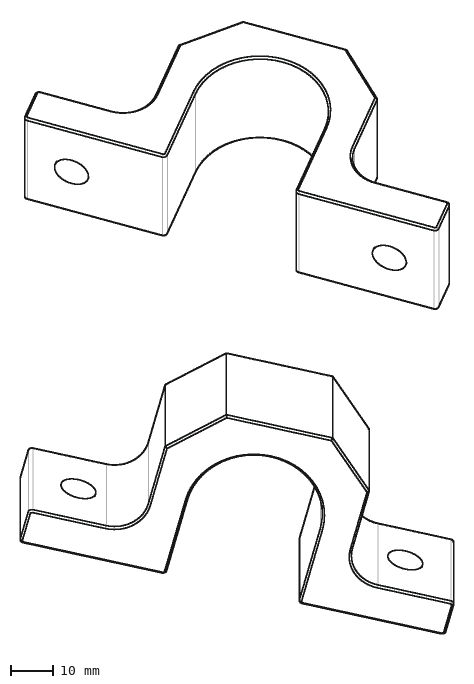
import cadquery as cq

length = 104.2
depth = 46.0
height = 30.0

flange_thickness = 9.4
block_half_width = 25.0
block_chamfer = 12.0
bore_radius = 16.3
bore_center_y = 21.0
inner_corner_radius = 8.2
foot_edge_radius = 0.9
rim_chamfer = 0.5
hole_diameter = 8.5
hole_spacing = 80.0

half_length = length / 2
bore_top_y = bore_center_y + bore_radius


def clamp_profile():
    """Hat-shaped outline with a round-topped channel open at y = 0."""
    return (
        cq.Workplane("XY")
        .moveTo(-half_length, 0)
        .lineTo(-half_length, flange_thickness)
        .lineTo(-block_half_width, flange_thickness)
        .lineTo(-block_half_width, depth - block_chamfer)
        .lineTo(-block_half_width + block_chamfer, depth)
        .lineTo(block_half_width - block_chamfer, depth)
        .lineTo(block_half_width, depth - block_chamfer)
        .lineTo(block_half_width, flange_thickness)
        .lineTo(half_length, flange_thickness)
        .lineTo(half_length, 0)
        .lineTo(bore_radius, 0)
        .lineTo(bore_radius, bore_center_y)
        .threePointArc((0, bore_top_y), (-bore_radius, bore_center_y))
        .lineTo(-bore_radius, 0)
        .close()
    )


def vertical_edges_at(points):
    """Selector for the upright edges that pass through the given XY points."""
    selector = None
    for x, y in points:
        nearest = cq.selectors.NearestToPointSelector((x, y, height / 2))
        selector = nearest if selector is None else selector + nearest
    return selector


body = clamp_profile().extrude(height)

inner_corners = [(side * block_half_width, flange_thickness) for side in (-1, 1)]
body = body.edges(vertical_edges_at(inner_corners)).fillet(inner_corner_radius)

foot_corners = []
for side in (-1, 1):
    foot_corners.append((side * half_length, 0))
    foot_corners.append((side * half_length, flange_thickness))
    foot_corners.append((side * bore_radius, 0))
body = body.edges(vertical_edges_at(foot_corners)).fillet(foot_edge_radius)

body = body.faces("<Z or >Z").edges().chamfer(rim_chamfer)

hole_cutters = (
    cq.Workplane("XZ", origin=(0, 0, height / 2))
    .pushPoints([(-hole_spacing / 2, 0), (hole_spacing / 2, 0)])
    .circle(hole_diameter / 2)
    .extrude(-flange_thickness)
)
result = body.cut(hole_cutters)